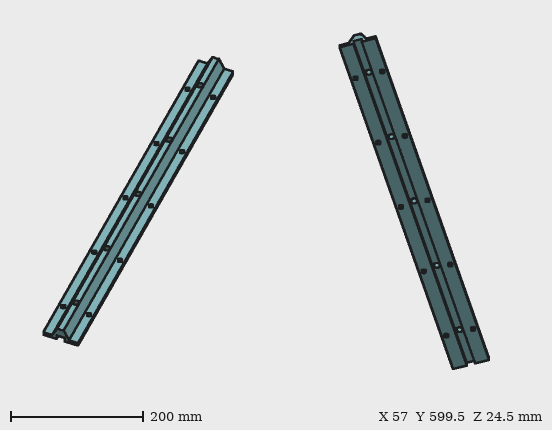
import cadquery as cq

length = 599.5
width = 57.0
height = 24.5
flange_thickness = 6.0
ridge_base_width = 27.5
ridge_top_width = 10.0

seat_radius = 12.5

channel_width = 13.0
channel_depth = 8.0

row_count = 5
row_pitch = length / row_count
flange_hole_diameter = 6.5
flange_hole_spacing = 42.0
ridge_hole_diameter = 9.0


def make_rail():
    seat_half_width = ridge_top_width / 2
    seat_depth = seat_radius - (seat_radius**2 - seat_half_width**2) ** 0.5
    section = (
        cq.Workplane("XZ")
        .moveTo(-width / 2, 0)
        .lineTo(-channel_width / 2, 0)
        .lineTo(-channel_width / 2, channel_depth)
        .lineTo(channel_width / 2, channel_depth)
        .lineTo(channel_width / 2, 0)
        .lineTo(width / 2, 0)
        .lineTo(width / 2, flange_thickness)
        .lineTo(ridge_base_width / 2, flange_thickness)
        .lineTo(seat_half_width, height)
        .threePointArc((0, height - seat_depth), (-seat_half_width, height))
        .lineTo(-ridge_base_width / 2, flange_thickness)
        .lineTo(-width / 2, flange_thickness)
        .close()
    )
    return section.extrude(length / 2, both=True)


def make_hole_column(x, diameter):
    """Vertical cylinders, one per row, at a fixed X position."""
    return (
        cq.Workplane("XY")
        .center(x, 0)
        .rarray(6, row_pitch, 1, row_count)
        .circle(diameter / 2)
        .extrude(height)
    )


result = make_rail().cut(make_hole_column(0, ridge_hole_diameter))
for side in (-1, 1):
    result = result.cut(make_hole_column(side * flange_hole_spacing / 2, flange_hole_diameter))